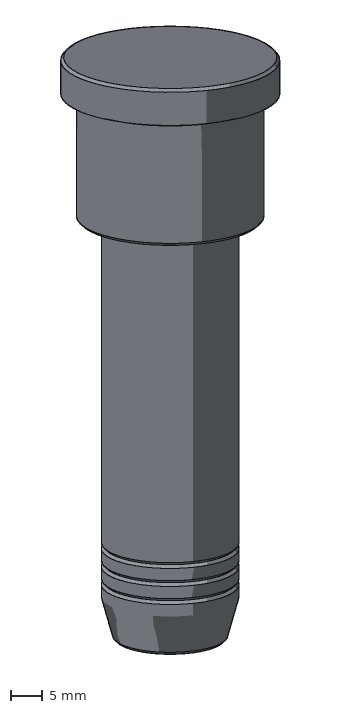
import cadquery as cq

total_length = 97.0
head_diameter = 35.0
head_thickness = 6.0
head_chamfer = 0.5

body_diameter = 30.0
body_bottom = 70.0
body_chamfer = 0.5
body_relief_height = 0.9
body_relief_depth = 0.5

shank_diameter = 22.0
shank_relief_height = 1.0
shank_relief_depth = 0.7

groove_count = 3
groove_top = 16.0
groove_pitch = 3.0
groove_width = 1.0
groove_depth = 0.5

taper_height = 7.0
tip_diameter = 18.4
tip_chamfer = 0.5


def cylinder(diameter, bottom, top):
    return cq.Workplane("XY").workplane(offset=bottom).circle(diameter / 2).extrude(top - bottom)


def ring_groove(diameter, top, width, depth, apex_drop):
    """V-shaped ring cutter with its deepest point apex_drop below its upper edge."""
    radius = diameter / 2
    return (
        cq.Workplane("XZ")
        .moveTo(radius, top)
        .lineTo(radius - depth, top - apex_drop)
        .lineTo(radius, top - width)
        .close()
        .revolve(360, (0, 0, 0), (0, 1, 0))
    )


def tapered_nose():
    """Conical lead-in with a small chamfer around the tip."""
    tip_radius = tip_diameter / 2
    return (
        cq.Workplane("XZ")
        .moveTo(0, 0)
        .lineTo(tip_radius - tip_chamfer, 0)
        .lineTo(tip_radius, tip_chamfer)
        .lineTo(shank_diameter / 2, taper_height)
        .lineTo(0, taper_height)
        .close()
        .revolve(360, (0, 0, 0), (0, 1, 0))
    )


head_bottom = total_length - head_thickness
head = cylinder(head_diameter, head_bottom, total_length).faces(">Z").edges().chamfer(head_chamfer)
body = cylinder(body_diameter, body_bottom, head_bottom).faces("<Z").edges().chamfer(body_chamfer)
shank = cylinder(shank_diameter, taper_height, body_bottom)

body_relief = ring_groove(body_diameter, head_bottom, body_relief_height, body_relief_depth, 0)
shank_relief = ring_groove(shank_diameter, body_bottom, shank_relief_height, shank_relief_depth, 0)

result = head.union(body.cut(body_relief)).union(shank.cut(shank_relief)).union(tapered_nose())

for index in range(groove_count):
    top = groove_top - index * groove_pitch
    result = result.cut(
        ring_groove(shank_diameter, top, groove_width, groove_depth, groove_width / 2)
    )